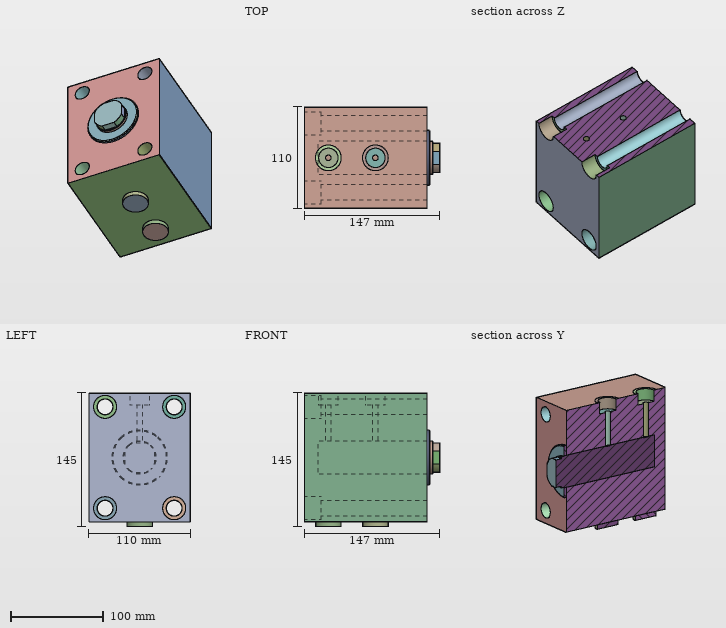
import cadquery as cq

BLOCK_X = 133.0
BLOCK_Y = 110.0
BLOCK_Z = 140.0
EDGE_CHAMFER = 0.5
MID_Y = BLOCK_Y / 2
MID_Z = BLOCK_Z / 2

MOUNT_SPACING_Y = 75.0
MOUNT_SPACING_Z = 110.0
MOUNT_DIAMETER = 16.9
COUNTERBORE_DIAMETER = 25.0
COUNTERBORE_DEPTH = 18.2

PORT_POSITIONS_X = (26.0, 77.0)
PORT_DIAMETER = 21.0
PORT_DEPTH = 13.0
SEAT_DIAMETER = 28.0
SEAT_DEPTH = 0.1
PASSAGE_DIAMETER = 6.0

PLUG_DIAMETER = SEAT_DIAMETER
PLUG_HEIGHT = 5.0

ROD_DIAMETER = 36.0
ROD_START_X = 14.7
COLLAR_LENGTH = 6.5
COLLAR_CHAMFER = 0.6
HEAD_END_X = 147.0
HEAD_ACROSS_FLATS = 32.0
HEAD_DIAMETER = 35.0
FLANGE_DIAMETER = 60.0
FLANGE_THICKNESS = 3.1
FLANGE_CHAMFER = 1.0


def axial_plane(x):
    """Plane normal to the rod axis, centred on that axis at the given X."""
    return cq.Plane(origin=(x, MID_Y, MID_Z), xDir=(0, 0, 1), normal=(1, 0, 0))


def make_rod():
    collar_end = BLOCK_X + COLLAR_LENGTH
    shaft = (
        cq.Workplane(axial_plane(ROD_START_X))
        .circle(ROD_DIAMETER / 2)
        .extrude(collar_end - ROD_START_X)
        .faces(">X")
        .chamfer(COLLAR_CHAMFER)
    )
    head_length = HEAD_END_X - collar_end
    head = cq.Workplane(axial_plane(collar_end)).circle(HEAD_DIAMETER / 2).extrude(head_length)
    flats = (
        cq.Workplane(axial_plane(collar_end))
        .rect(HEAD_ACROSS_FLATS, HEAD_ACROSS_FLATS)
        .extrude(head_length)
    )
    return shaft.union(head.intersect(flats))


def make_flange():
    return (
        cq.Workplane(axial_plane(BLOCK_X))
        .circle(FLANGE_DIAMETER / 2)
        .extrude(FLANGE_THICKNESS)
        .faces(">X")
        .edges()
        .chamfer(FLANGE_CHAMFER)
        .cut(cq.Workplane(axial_plane(BLOCK_X)).circle(ROD_DIAMETER / 2).extrude(FLANGE_THICKNESS))
    )


def make_plug(x):
    return (
        cq.Workplane("XY", origin=(x, MID_Y, -PLUG_HEIGHT))
        .circle(PLUG_DIAMETER / 2)
        .extrude(PLUG_HEIGHT)
    )


def top_drill(x, diameter, depth):
    """Cylinder reaching down from the top face."""
    top_plane = cq.Workplane("XY", origin=(x, MID_Y, BLOCK_Z))
    return top_plane.circle(diameter / 2).extrude(-depth)


def mounting_drills(diameter, depth):
    """Four cylinders reaching in from the -X face."""
    plane = cq.Plane(origin=(0, MID_Y, MID_Z), xDir=(0, 0, -1), normal=(1, 0, 0))
    return (
        cq.Workplane(plane)
        .rarray(MOUNT_SPACING_Z, MOUNT_SPACING_Y, 2, 2)
        .circle(diameter / 2)
        .extrude(depth)
    )


def make_block():
    block = (
        cq.Workplane("XY")
        .box(BLOCK_X, BLOCK_Y, BLOCK_Z, centered=False)
        .edges("|X")
        .chamfer(EDGE_CHAMFER)
    )
    block = block.cut(mounting_drills(MOUNT_DIAMETER, BLOCK_X))
    block = block.cut(mounting_drills(COUNTERBORE_DIAMETER, COUNTERBORE_DEPTH))
    for x in PORT_POSITIONS_X:
        block = block.cut(top_drill(x, SEAT_DIAMETER, SEAT_DEPTH))
        block = block.cut(top_drill(x, PORT_DIAMETER, PORT_DEPTH))
        block = block.cut(top_drill(x, PASSAGE_DIAMETER, MID_Z))
    rod_bore = (
        cq.Workplane(axial_plane(ROD_START_X))
        .circle(ROD_DIAMETER / 2)
        .extrude(BLOCK_X - ROD_START_X)
    )
    return block.cut(rod_bore)


block = make_block()
flange = make_flange()
rod = make_rod()
plugs = [make_plug(x) for x in PORT_POSITIONS_X]

result = cq.Compound.makeCompound(
    [block.val(), flange.val(), rod.val(), *[plug.val() for plug in plugs]]
)